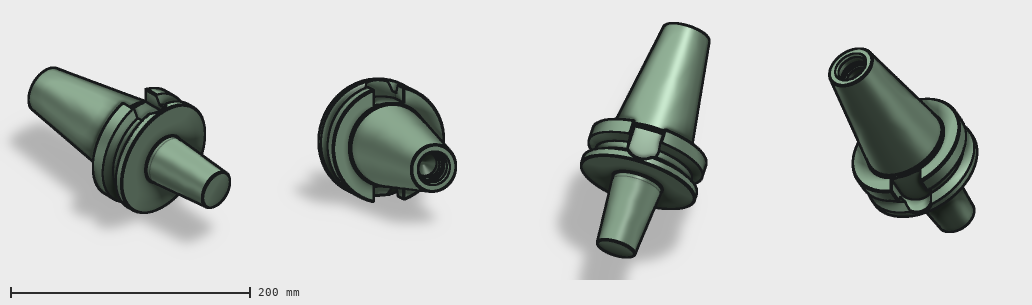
import cadquery as cq
import math

total_length = 201.8
neck_start = 101.1
flange_start = 104.7
flange_end = 139.6

taper_large_radius = 35.0
taper_slope = 7 / 48
taper_small_radius = taper_large_radius - neck_start * taper_slope
taper_end_chamfer = 0.8

neck_depth = 0.5
neck_run = 1.0
neck_flat = 1.2
neck_root_radius = 35.7

flange_diameter = 99.9
flange_radius = flange_diameter / 2
flange_chamfer = 1.0
rim_chamfer = 0.8
groove_floor_radius = 42.2
groove_floor_start = 121.9
groove_floor_end = 128.3
groove_flank_angle = 30.0
groove_flank_run = (flange_radius - groove_floor_radius) * math.tan(math.radians(groove_flank_angle))

nose_base_radius = 21.2
nose_cylinder_end = 144.0
nose_tip_radius = 16.7
nose_tip_chamfer = 0.8
nose_root_size = 0.8

slot_half_width = 13.1
slot_floor_height = 35.0
slot_end = 136.5
slot_edge_chamfer = 1.0
slot_entry_chamfer = 0.8
selection_margin = 0.2

bore_mouth_radius = 14.3
counterbore_radius = 12.7
counterbore_end = 9.0
bore_mouth_depth = 2.8
thread_radius = 12.0
thread_start = counterbore_end + counterbore_radius - thread_radius
thread_end = 12.5
drill_radius = 10.3
drill_end = 20.2
drill_tip_angle = 118.0
drill_tip_depth = drill_radius / math.tan(math.radians(drill_tip_angle / 2))


def revolve_about_x(points):
    """Revolve a closed (x, radius) outline about the X axis."""
    return cq.Workplane("XY").polyline(points).close().revolve(360, (0, 0, 0), (1, 0, 0))


def make_body():
    neck_radius = taper_large_radius - neck_depth
    return revolve_about_x([
        (0, 0),
        (0, taper_small_radius - taper_end_chamfer),
        (taper_end_chamfer, taper_small_radius + taper_end_chamfer * taper_slope),
        (neck_start, taper_large_radius),
        (neck_start + neck_run, neck_radius),
        (neck_start + neck_run + neck_flat, neck_radius),
        (flange_start, neck_root_radius),
        (flange_start, flange_radius - flange_chamfer),
        (flange_start + flange_chamfer, flange_radius),
        (groove_floor_start - groove_flank_run, flange_radius),
        (groove_floor_start, groove_floor_radius),
        (groove_floor_end, groove_floor_radius),
        (groove_floor_end + groove_flank_run, flange_radius),
        (flange_end - rim_chamfer, flange_radius),
        (flange_end, flange_radius - rim_chamfer),
        (flange_end, nose_base_radius + nose_root_size),
        (flange_end + nose_root_size, nose_base_radius),
        (nose_cylinder_end, nose_base_radius),
        (total_length - nose_tip_chamfer, nose_tip_radius),
        (total_length, nose_tip_radius - nose_tip_chamfer),
        (total_length, 0),
    ])


def make_bore():
    return revolve_about_x([
        (0, 0),
        (0, bore_mouth_radius),
        (bore_mouth_depth, counterbore_radius),
        (counterbore_end, counterbore_radius),
        (thread_start, thread_radius),
        (thread_end, thread_radius),
        (thread_end + thread_radius - drill_radius, drill_radius),
        (drill_end, drill_radius),
        (drill_end + drill_tip_depth, 0),
    ])


def make_slot():
    """Upper drive slot: open toward the taper, rounded at the other end."""
    arc_center = slot_end - slot_half_width
    return (
        cq.Workplane("XY", origin=(0, 0, slot_floor_height))
        .moveTo(flange_start, -slot_half_width)
        .lineTo(arc_center, -slot_half_width)
        .threePointArc((slot_end, 0), (arc_center, slot_half_width))
        .lineTo(flange_start, slot_half_width)
        .close()
        .extrude(flange_radius)
    )


def make_slot_entry():
    """Wedge that bevels the two upright slot edges on the taper-side flange face."""
    entry_half_width = slot_half_width + slot_entry_chamfer
    return (
        cq.Workplane("XY", origin=(0, 0, slot_floor_height))
        .polyline([
            (flange_start, -entry_half_width),
            (flange_start + slot_entry_chamfer, -slot_half_width),
            (flange_start + slot_entry_chamfer, slot_half_width),
            (flange_start, entry_half_width),
        ])
        .close()
        .extrude(flange_radius)
    )


def slot_rim_edges():
    """Selector for the slot edges lying on the outer cylinder of the flange."""
    rim_height = math.sqrt(flange_radius**2 - slot_half_width**2)
    low = rim_height - selection_margin
    high = flange_radius + selection_margin
    start = flange_start + flange_chamfer + selection_margin
    end = slot_end + selection_margin
    half_width = slot_half_width + selection_margin
    upper = cq.selectors.BoxSelector((start, -half_width, low), (end, half_width, high))
    lower = cq.selectors.BoxSelector((start, -half_width, -high), (end, half_width, -low))
    return upper + lower


slot = make_slot()
slot_entry = make_slot_entry()
result = make_body().cut(slot).cut(slot.mirror("XY"))
result = result.edges(slot_rim_edges()).chamfer(slot_edge_chamfer)
result = result.cut(slot_entry).cut(slot_entry.mirror("XY"))
result = result.cut(make_bore())